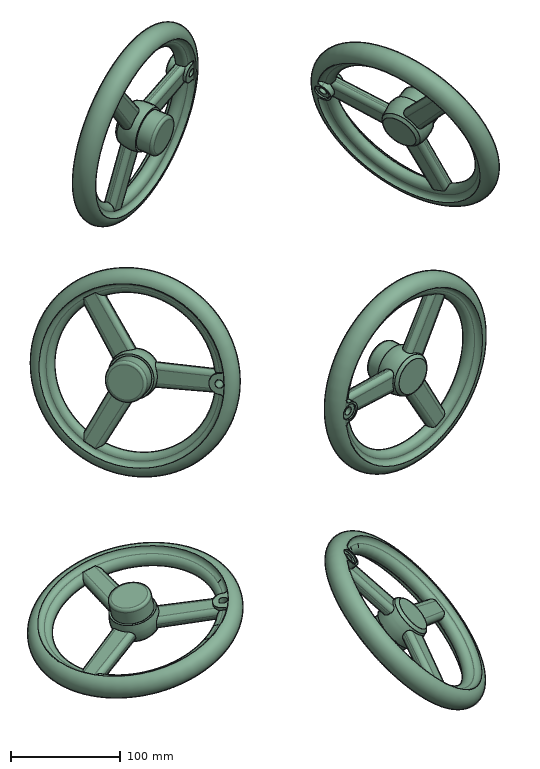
import cadquery as cq
import math


wheel_radius = 100.0
grip_radius = 11.5
bead_radius = 6.35
rim_width = 2 * grip_radius
mid_plane = rim_width / 2
grip_center = wheel_radius - grip_radius
bead_center = grip_center - (grip_radius - bead_radius)
cove_radius = grip_center - bead_center

spoke_count = 3
spoke_front = 6.2
spoke_thickness = 11.8
spoke_edge_fillet = 5.0
spoke_inner_end = 10.0
spoke_inner_half_width = 11.85
spoke_outer_end = bead_center
spoke_outer_half_width = 10.75

hub_front = 1.5
hub_front_radius = 20.8
hub_front_chamfer = 2.9
hub_bulge_radius = 23.2
hub_bulge_position = 16.0
hub_body_end = 25.0
hub_body_end_radius = 22.0
neck_radius = 20.0
neck_fillet = 3.0
hub_end = 42.0

boss_radius = 10.0
boss_blend_radius = 4.0
spot_face_radius = 8.0
spot_face_depth = 2.0
boss_back = rim_width - spot_face_depth
handle_hole_radius = 4.0


def turned(profile):
    """Revolve a profile drawn as (X, radius) about the X axis."""
    return profile.close().revolve(360, (0, 0, 0), (1, 0, 0))


def arc_point(center, radius, degrees):
    """Point on an arc, at an angle measured from the first axis towards the second."""
    angle = math.radians(degrees)
    return (center[0] + radius * math.cos(angle), center[1] + radius * math.sin(angle))


def below(point):
    """Reflection of a (Y, Z) point to the other side of the spoke axis."""
    return (point[0], -point[1])


def make_rim():
    bead = (mid_plane, bead_center)
    profile = (
        cq.Workplane("XY")
        .moveTo(0, grip_center)
        .threePointArc((mid_plane, wheel_radius), (rim_width, grip_center))
        .threePointArc(
            arc_point((rim_width, bead_center), cove_radius, 135),
            (mid_plane + bead_radius, bead_center),
        )
        .threePointArc(arc_point(bead, bead_radius, 270), (mid_plane - bead_radius, bead_center))
        .threePointArc(arc_point((0, bead_center), cove_radius, 45), (0, grip_center))
    )
    return turned(profile)


def make_spoke():
    """Tapered spoke along +Y with rounded long edges."""
    return (
        cq.Workplane("YZ", origin=(spoke_front, 0, 0))
        .moveTo(spoke_inner_end, -spoke_inner_half_width)
        .lineTo(spoke_outer_end, -spoke_outer_half_width)
        .lineTo(spoke_outer_end, spoke_outer_half_width)
        .lineTo(spoke_inner_end, spoke_inner_half_width)
        .close()
        .extrude(spoke_thickness)
        .edges("not (|X or |Z)")
        .fillet(spoke_edge_fillet)
    )


def make_hub():
    neck_corner = (hub_end - neck_fillet, neck_radius - neck_fillet)
    profile = (
        cq.Workplane("XY")
        .moveTo(hub_front, 0)
        .lineTo(hub_front, hub_front_radius - hub_front_chamfer)
        .lineTo(hub_front + hub_front_chamfer, hub_front_radius)
        .threePointArc(
            (hub_bulge_position, hub_bulge_radius),
            (hub_body_end, hub_body_end_radius),
        )
        .lineTo(hub_body_end, neck_radius)
        .lineTo(neck_corner[0], neck_radius)
        .threePointArc(arc_point(neck_corner, neck_fillet, 45), (hub_end, neck_corner[1]))
        .lineTo(hub_end, 0)
    )
    return turned(profile)


def make_boss():
    """Boss level with the front of the rim, blended at both sides into the cove wall."""
    blend_center_radius = grip_center - boss_blend_radius
    blend_offset = boss_radius + boss_blend_radius
    blend_y = (blend_center_radius**2 + bead_center**2 - blend_offset**2) / (2 * bead_center)
    blend_z = math.sqrt(blend_center_radius**2 - blend_y**2)
    blend = (blend_y, blend_z)

    wall_angle = math.degrees(math.atan2(blend_z, blend_y))
    boss_angle = math.degrees(math.atan2(-blend_z, bead_center - blend_y))
    blend_middle_angle = (wall_angle + boss_angle) / 2
    wall_point = arc_point(blend, boss_blend_radius, wall_angle)
    boss_point = arc_point(blend, boss_blend_radius, boss_angle)
    blend_point = arc_point(blend, boss_blend_radius, blend_middle_angle)
    return (
        cq.Workplane("YZ")
        .moveTo(*wall_point)
        .threePointArc(blend_point, boss_point)
        .threePointArc((bead_center - boss_radius, 0), below(boss_point))
        .threePointArc(below(blend_point), below(wall_point))
        .threePointArc((grip_center, 0), wall_point)
        .close()
        .extrude(boss_back)
    )


def make_boss_cut(radius, depth):
    """Round cutter on the boss axis, sunk from the front of the rim."""
    return cq.Workplane("YZ").center(bead_center, 0).circle(radius).extrude(depth)


wheel = make_rim().union(make_hub())
spoke = make_spoke()
for index in range(spoke_count):
    wheel = wheel.union(spoke.rotate((0, 0, 0), (1, 0, 0), index * 360 / spoke_count))

spot_face = make_boss_cut(spot_face_radius, spot_face_depth)
handle_hole = make_boss_cut(handle_hole_radius, rim_width)
result = wheel.union(make_boss()).cut(spot_face).cut(handle_hole)